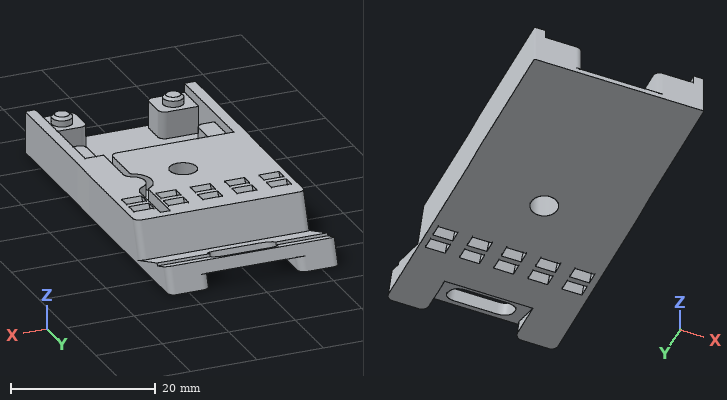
import cadquery as cq
import math

LENGTH = 51.7
WIDTH = 25.8
HEIGHT = 6.25
CUT_MARGIN = 0.5

SIDE_SHIFT = 0.1
SHIFT_START = 18.75
SHIFT_END = 23.15
FRONT_EDGE_RADIUS = 0.25

TILT = math.radians(20)
WEDGE_TOP_Y = 39.45
TAIL_HEIGHT = 3.8
TAIL_STEP_LENGTH = 3.15
TAIL_STEP_RISE = 0.4
SLANTED_EDGE_RADIUS = 1.0

OPENING_LENGTH = 9.9
OPENING_WIDTH = 4.15
OPENING_RADIUS = 1.7
OPENING_CENTRE_U = 3.25

NOTCH_WIDTH = 13.35
PLATE_THICKNESS = 1.85
NOTCH_CORNER_RADIUS = 1.15

POCKET_WIDTH = 22.4
POCKET_LENGTH = 17.6
POCKET_FLOOR = 0.85
SHELF_HEIGHT = 4.9
SHELF_CORNER_RADIUS = 1.05
PAD_WIDTH = 5.75
PAD_LENGTH = 5.15
LEDGE_WIDTH = 2.8
LEDGE_LENGTH = 6.85
PIN_DIAMETER = 3.0
PIN_CHAMFER = 0.4
PIN_X = 8.35
PIN_Y = 2.75

HOLE_DIAMETER = 4.0
HOLE_Y = 26.05

PASSAGE_COLUMNS = 5
PASSAGE_PITCH_X = 5.15
PASSAGE_WIDTH = 3.0
PASSAGE_LENGTH = 1.8
PASSAGE_ROWS = (32.95, 35.6)
PASSAGE_LEAN = math.radians(30)

GROOVE_WIDTH = 1.0
GROOVE_RIGHT = POCKET_WIDTH / 2 - LEDGE_WIDTH
GROOVE_LEFT = GROOVE_RIGHT - GROOVE_WIDTH
REAR_RUN_LEFT = 7.1
REAR_RUN_RIGHT = 8.6
GROOVE_END_Y = 38.15
GROOVE_DEPTH = 2.0
GROOVE_EXIT_RADIUS = 1.05
BEND_OUTER_RADIUS = 3.0
BEND_INNER_RADIUS = BEND_OUTER_RADIUS - GROOVE_WIDTH
BEND_X = 8.4
BEND_Y = 27.6
OUTER_BLEND = 0.35
FRONT_INNER_BLEND = OUTER_BLEND + GROOVE_WIDTH
REAR_INNER_BLEND = 1.85


def box(x_min, x_max, y_min, y_max, z_min, z_max):
    """Axis-aligned block given by its limits."""
    size = (x_max - x_min, y_max - y_min, z_max - z_min)
    return cq.Workplane("XY").box(*size, centered=False).translate((x_min, y_min, z_min))


def side_prism(points):
    """Prism across the whole width from a (Y, Z) outline."""
    reach = WIDTH / 2 + CUT_MARGIN
    return cq.Workplane("YZ").polyline(points).close().extrude(reach, both=True)


TAIL_TOP_Y = LENGTH - TAIL_HEIGHT * math.tan(TILT)
RAMP_NORMAL = cq.Vector(0, -math.sin(TILT), math.cos(TILT))
ALONG_NORMAL = cq.selectors.ParallelDirSelector(RAMP_NORMAL)


def ramp_point(u, v):
    """(Y, Z) of a point in the ramp frame."""
    y = TAIL_TOP_Y - u * math.cos(TILT) - v * math.sin(TILT)
    z = TAIL_HEIGHT - u * math.sin(TILT) + v * math.cos(TILT)
    return (y, z)


def make_plan():
    """Full-height prism of the outline from above, with the sideways shift."""
    half = WIDTH / 2
    inner = half - SIDE_SHIFT
    outline = [
        (-half, 0),
        (inner, 0),
        (inner, SHIFT_START),
        (half, SHIFT_END),
        (half, LENGTH),
        (-inner, LENGTH),
        (-inner, SHIFT_END),
        (-half, SHIFT_START),
    ]
    plan = cq.Workplane("XY").polyline(outline).close().extrude(HEIGHT)
    return plan.edges("|Z and <Y").fillet(FRONT_EDGE_RADIUS)


def make_body():
    """Main block and tail, each with its slanted rear edges rounded."""
    plan = make_plan()
    wedge_foot_y = WEDGE_TOP_Y + HEIGHT * math.tan(TILT)
    block = plan.intersect(side_prism([(0, 0), (wedge_foot_y, 0), (WEDGE_TOP_Y, HEIGHT), (0, HEIGHT)]))

    ramp_end_u = (TAIL_HEIGHT + TAIL_STEP_RISE * math.cos(TILT)) / math.sin(TILT)
    tail_outline = [
        (LENGTH, 0),
        (TAIL_TOP_Y, TAIL_HEIGHT),
        ramp_point(TAIL_STEP_LENGTH, 0),
        ramp_point(TAIL_STEP_LENGTH, TAIL_STEP_RISE),
        ramp_point(ramp_end_u, TAIL_STEP_RISE),
    ]
    tail = plan.intersect(side_prism(tail_outline))

    block = block.edges(ALONG_NORMAL).fillet(SLANTED_EDGE_RADIUS)
    tail = tail.edges(ALONG_NORMAL).edges(">Y").fillet(SLANTED_EDGE_RADIUS)
    return block.union(tail)


def make_opening():
    """Rounded bar along the ramp normal."""
    y, z = ramp_point(OPENING_CENTRE_U, 0)
    plane = cq.Plane(origin=(0, y, z), xDir=(1, 0, 0), normal=RAMP_NORMAL.toTuple())
    bar = cq.Workplane(plane).rect(OPENING_LENGTH, OPENING_WIDTH).extrude(HEIGHT, both=True)
    return bar.edges(ALONG_NORMAL).fillet(OPENING_RADIUS)


def make_notch():
    """Wedge cut up from the base, ending below the ramp, with flared round corners at the tail face."""
    half = NOTCH_WIDTH / 2
    mouth = half + NOTCH_CORNER_RADIUS
    bulge = NOTCH_CORNER_RADIUS * (1 - math.sqrt(0.5))
    blend_y = LENGTH - NOTCH_CORNER_RADIUS
    outer_y = LENGTH + CUT_MARGIN
    lean = cq.Vector(0, -TAIL_HEIGHT * math.tan(TILT), TAIL_HEIGHT)
    outline = (
        cq.Workplane("XY")
        .moveTo(-half, WEDGE_TOP_Y)
        .lineTo(half, WEDGE_TOP_Y)
        .lineTo(half, blend_y)
        .threePointArc((half + bulge, LENGTH - bulge), (mouth, LENGTH))
        .lineTo(mouth, outer_y)
        .lineTo(-mouth, outer_y)
        .lineTo(-mouth, LENGTH)
        .threePointArc((-half - bulge, LENGTH - bulge), (-half, blend_y))
        .close()
    )
    column = cq.Workplane(cq.Solid.extrudeLinear(outline.val(), [], lean))

    ceiling_end_u = (TAIL_HEIGHT - PLATE_THICKNESS * math.cos(TILT)) / math.sin(TILT)
    under_plate = [
        ramp_point(ceiling_end_u, -PLATE_THICKNESS),
        ramp_point(-CUT_MARGIN, -PLATE_THICKNESS),
        (outer_y, 0),
    ]
    return column.intersect(side_prism(under_plate))


def make_pocket():
    """Pocket open to the front, leaving two pads, two ledges and the pins standing."""
    half = POCKET_WIDTH / 2
    pocket = box(-half, half, -CUT_MARGIN, POCKET_LENGTH, POCKET_FLOOR, HEIGHT + CUT_MARGIN)
    for side in (-1, 1):
        inner_edge = "|Z and >X" if side < 0 else "|Z and <X"
        wall_x = side * half
        pad_x = side * (half - PAD_WIDTH)
        pad = box(min(wall_x, pad_x), max(wall_x, pad_x), 0, PAD_LENGTH, 0, SHELF_HEIGHT)
        pad = pad.edges(inner_edge).fillet(SHELF_CORNER_RADIUS)
        ledge_x = side * (half - LEDGE_WIDTH)
        ledge_front = POCKET_LENGTH - LEDGE_LENGTH
        ledge = box(min(wall_x, ledge_x), max(wall_x, ledge_x), ledge_front, POCKET_LENGTH, 0, SHELF_HEIGHT)
        ledge = ledge.edges(inner_edge).edges("<Y").fillet(SHELF_CORNER_RADIUS)
        pin = cq.Workplane("XY").center(side * PIN_X, PIN_Y).circle(PIN_DIAMETER / 2).extrude(HEIGHT)
        pin = pin.faces(">Z").chamfer(PIN_CHAMFER)
        pocket = pocket.cut(pad).cut(ledge).cut(pin)
    return pocket


def make_passages():
    """Slanted rectangular passages that lead down and rearward through the block."""
    top = HEIGHT + CUT_MARGIN
    bottom = -CUT_MARGIN
    half = PASSAGE_LENGTH / 2
    passages = cq.Workplane("XY")
    for row_y in PASSAGE_ROWS:
        top_y = row_y - CUT_MARGIN * math.tan(PASSAGE_LEAN)
        bottom_y = row_y + (HEIGHT - bottom) * math.tan(PASSAGE_LEAN)
        outline = [
            (top_y - half, top),
            (top_y + half, top),
            (bottom_y + half, bottom),
            (bottom_y - half, bottom),
        ]
        for column in range(PASSAGE_COLUMNS):
            x = (column - (PASSAGE_COLUMNS - 1) / 2) * PASSAGE_PITCH_X
            passage = cq.Workplane("YZ").polyline(outline).close().extrude(PASSAGE_WIDTH / 2, both=True)
            passages = passages.add(passage.translate((x, 0, 0)))
    return passages.combine()


def bend_blend(bend_radius, wall_x, blend_radius, side):
    """Blend from a straight wall to a bend circle: wall end, middle and bend end.

    side is +1 behind the bend centre and -1 in front of it.
    """
    across = wall_x - blend_radius - BEND_X
    reach = bend_radius + blend_radius
    along = side * math.sqrt(reach**2 - across**2)
    centre = cq.Vector(BEND_X + across, BEND_Y + along)
    to_bend = cq.Vector(-across, -along).normalized()
    to_middle = (to_bend + cq.Vector(1, 0)).normalized()
    ends = (cq.Vector(1, 0), to_middle, to_bend)
    return [(centre + direction * blend_radius).toTuple()[:2] for direction in ends]


def make_groove():
    """Groove outline from above, limited below by a flat floor with 45-degree end ramps."""
    rear_inner = bend_blend(BEND_INNER_RADIUS, REAR_RUN_RIGHT, REAR_INNER_BLEND, 1)
    front_inner = bend_blend(BEND_INNER_RADIUS, GROOVE_RIGHT, FRONT_INNER_BLEND, -1)
    front_outer = bend_blend(BEND_OUTER_RADIUS, GROOVE_LEFT, OUTER_BLEND, -1)
    rear_outer = bend_blend(BEND_OUTER_RADIUS, REAR_RUN_LEFT, OUTER_BLEND, 1)
    exit_bulge = GROOVE_EXIT_RADIUS * (1 - math.sqrt(0.5))
    exit_left = GROOVE_LEFT - GROOVE_EXIT_RADIUS
    outline = (
        cq.Workplane("XY")
        .moveTo(REAR_RUN_LEFT, GROOVE_END_Y)
        .lineTo(REAR_RUN_RIGHT, GROOVE_END_Y)
        .lineTo(*rear_inner[0])
        .threePointArc(rear_inner[1], rear_inner[2])
        .threePointArc((BEND_X - BEND_INNER_RADIUS, BEND_Y), front_inner[2])
        .threePointArc(front_inner[1], front_inner[0])
        .lineTo(GROOVE_RIGHT, POCKET_LENGTH)
        .lineTo(exit_left, POCKET_LENGTH)
        .threePointArc(
            (GROOVE_LEFT - exit_bulge, POCKET_LENGTH + exit_bulge),
            (GROOVE_LEFT, POCKET_LENGTH + GROOVE_EXIT_RADIUS),
        )
        .lineTo(*front_outer[0])
        .threePointArc(front_outer[1], front_outer[2])
        .threePointArc((BEND_X - BEND_OUTER_RADIUS, BEND_Y), rear_outer[2])
        .threePointArc(rear_outer[1], rear_outer[0])
        .close()
        .extrude(HEIGHT + CUT_MARGIN)
    )
    floor = HEIGHT - GROOVE_DEPTH
    top = HEIGHT + CUT_MARGIN
    depth_profile = [
        (POCKET_LENGTH, top),
        (POCKET_LENGTH, floor - GROOVE_DEPTH),
        (POCKET_LENGTH + GROOVE_DEPTH, floor),
        (GROOVE_END_Y - GROOVE_DEPTH, floor),
        (GROOVE_END_Y, HEIGHT),
        (GROOVE_END_Y, top),
    ]
    return outline.intersect(side_prism(depth_profile))


hole = cq.Workplane("XY").center(0, HOLE_Y).circle(HOLE_DIAMETER / 2).extrude(HEIGHT)

result = make_body()
for cutter in (make_opening(), make_notch(), make_pocket(), make_passages(), make_groove(), hole):
    result = result.cut(cutter)